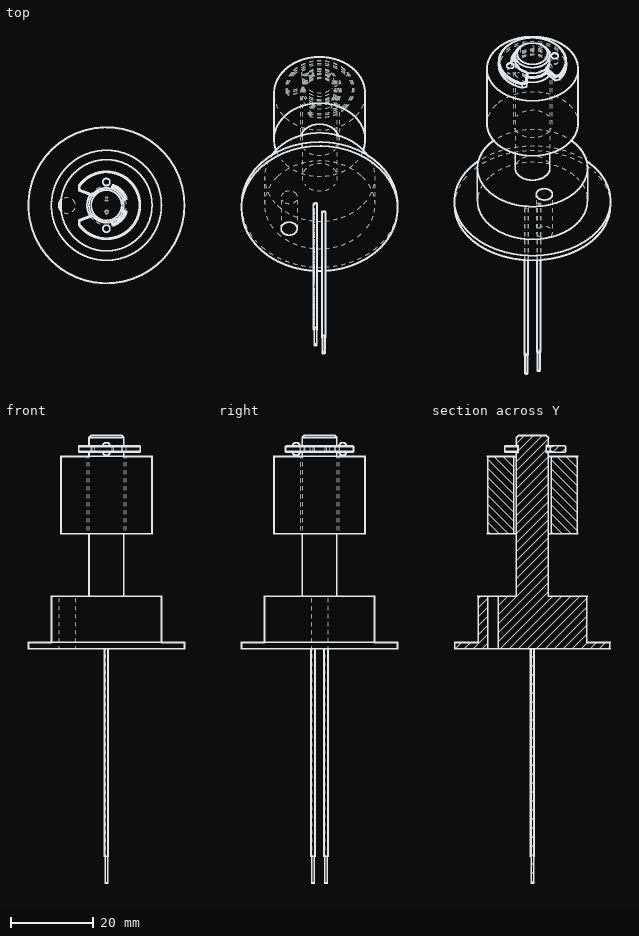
import cadquery as cq
import math

stem_top = 52.1
wire_bottom = stem_top - 109.2

flange_diameter = 38.1
flange_thickness = 1.6
base_diameter = 26.9
base_top = 12.9
stem_diameter = 8.5
stem_chamfer = 0.5
vent_diameter = 3.9
vent_offset = 9.6

float_diameter = 22.3
float_bottom = 28.0
float_height = 18.9
float_bore_diameter = 9.5

clip_bottom = 47.9
clip_thickness = 1.6
clip_diameter = 16.6
clip_edge_chamfer = 0.27
groove_diameter = 7.6
mouth_inner_half_width = 2.4
mouth_outer_half_width = 3.6
mouth_inner_x = 3.6
mouth_outer_x = 6.8
relief_diameter = 9.9
relief_start_angle = 20
relief_end_angle = 70
bump_radius = 0.9
bump_height = 0.8
bump_offset = 5.7

wire_spacing = 3.2
insulation_diameter = 1.0
core_diameter = 0.7
bare_length = 6.5


def cylinder(diameter, bottom, height):
    """Vertical cylinder centred on the Z axis."""
    return cq.Workplane("XY").workplane(offset=bottom).circle(diameter / 2).extrude(height)


def polar(radius, angle):
    """XY point at a radius and an angle in degrees from +X."""
    return (radius * math.cos(math.radians(angle)), radius * math.sin(math.radians(angle)))


def make_housing():
    """Flange, base and grooved stem, with a vent hole through base and flange."""
    body = cylinder(flange_diameter, 0, flange_thickness)
    body = body.union(cylinder(base_diameter, 0, base_top))
    stem = cylinder(stem_diameter, 0, stem_top).faces(">Z").chamfer(stem_chamfer)
    groove = cylinder(stem_diameter, clip_bottom, clip_thickness)
    groove = groove.cut(cylinder(groove_diameter, clip_bottom, clip_thickness))
    vent = cylinder(vent_diameter, 0, base_top).translate((-vent_offset, 0, 0))
    return body.union(stem).cut(groove).cut(vent)


def make_float():
    """Plain cylindrical float, free to slide on the stem."""
    body = cylinder(float_diameter, float_bottom, float_height)
    return body.cut(cylinder(float_bore_diameter, float_bottom, float_height))


def clip_relief(side):
    """Curved relief pocket in the clip bore, on the +Y (1) or -Y (-1) side."""
    corner_start = polar(relief_diameter / 2, side * relief_start_angle)
    arc_middle = polar(relief_diameter / 2, side * (relief_start_angle + relief_end_angle) / 2)
    corner_end = polar(relief_diameter / 2, side * relief_end_angle)
    return (
        cq.Workplane("XY")
        .workplane(offset=clip_bottom)
        .moveTo(0, 0)
        .lineTo(*corner_start)
        .threePointArc(arc_middle, corner_end)
        .close()
        .extrude(clip_thickness)
    )


def make_clip():
    """E-shaped clip, open toward -X, with a round bump on both faces of each arm."""
    clip = cylinder(clip_diameter, clip_bottom, clip_thickness)
    clip = clip.cut(cylinder(groove_diameter, clip_bottom, clip_thickness))
    mouth = (
        cq.Workplane("XY")
        .workplane(offset=clip_bottom)
        .polyline([
            (0, -mouth_inner_half_width),
            (-mouth_inner_x, -mouth_inner_half_width),
            (-mouth_outer_x, -mouth_outer_half_width),
            (-mouth_outer_x, -clip_diameter),
            (-clip_diameter, -clip_diameter),
            (-clip_diameter, clip_diameter),
            (-mouth_outer_x, clip_diameter),
            (-mouth_outer_x, mouth_outer_half_width),
            (-mouth_inner_x, mouth_inner_half_width),
            (0, mouth_inner_half_width),
        ])
        .close()
        .extrude(clip_thickness)
    )
    clip = clip.cut(mouth)
    for side in (1, -1):
        clip = clip.cut(clip_relief(side))
    clip = clip.faces("<Z or >Z").edges().chamfer(clip_edge_chamfer)
    bump_inset = bump_radius - bump_height
    for side in (1, -1):
        for bump_center in (clip_bottom + bump_inset, clip_bottom + clip_thickness - bump_inset):
            bump = cq.Workplane("XY").sphere(bump_radius)
            clip = clip.union(bump.translate((0, side * bump_offset, bump_center)))
    return clip


def make_core(y):
    """Bare conductor running through its insulation up to the flange."""
    return cylinder(core_diameter, wire_bottom, -wire_bottom).translate((0, y, 0))


def make_insulation(y):
    """Insulating sleeve around a core, leaving the lower end bare."""
    sleeve_bottom = wire_bottom + bare_length
    sleeve = cylinder(insulation_diameter, sleeve_bottom, -sleeve_bottom)
    bore = cylinder(core_diameter, sleeve_bottom, -sleeve_bottom)
    return sleeve.cut(bore).translate((0, y, 0))


housing = make_housing()
float_body = make_float()
clip = make_clip()

wires = []
for y in (-wire_spacing / 2, wire_spacing / 2):
    wires.append(make_core(y).val())
    wires.append(make_insulation(y).val())

result = cq.Compound.makeCompound([housing.val(), float_body.val(), clip.val(), *wires])